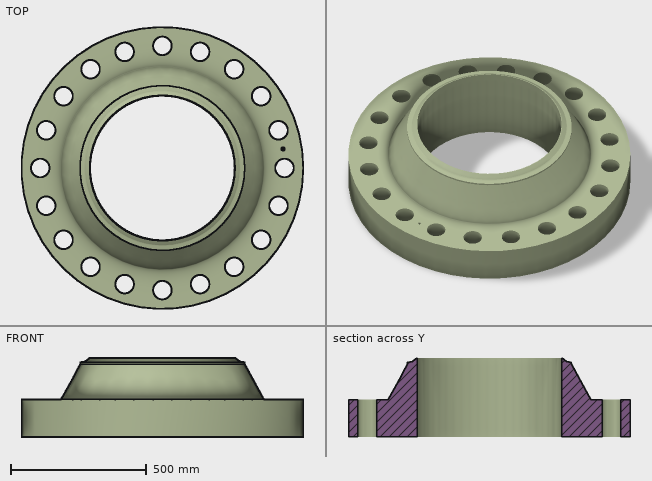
import cadquery as cq
import math

flange_radius = 521.0
flange_height = 140.0

total_height = 293.0
bore_radius = 267.0
neck_base_radius = 375.0
neck_top_radius = 304.0
neck_base_fillet = 3.0
neck_collar_bottom = 270.0

land_width = 2.0
steep_bevel_width = 17.0
steep_bevel_angle = 37.5
shallow_bevel_angle = 10.0
bevel_fillet = 3.0

bolt_count = 20
bolt_circle_radius = 451.0
bolt_hole_diameter = 68.0
pilot_hole_diameter = 7.0
pilot_chamfer = 2.6
pilot_hole_depth = 25.0


def rise(width, angle):
    """Height gained by a slope of the given width and angle in degrees."""
    return width * math.tan(math.radians(angle))


def flange_body():
    """Revolve the half section of disc, neck and weld end about Z."""
    land_radius = bore_radius + land_width
    bevel_radius = land_radius + steep_bevel_width
    bevel_height = total_height - rise(steep_bevel_width, steep_bevel_angle)
    collar_top = bevel_height - rise(neck_top_radius - bevel_radius, shallow_bevel_angle)
    section = [
        (bore_radius, 0),
        (flange_radius, 0),
        (flange_radius, flange_height),
        (neck_base_radius, flange_height),
        (neck_top_radius, neck_collar_bottom),
        (neck_top_radius, collar_top),
        (bevel_radius, bevel_height),
        (land_radius, total_height),
        (bore_radius, total_height),
    ]
    body = cq.Workplane("XZ").polyline(section).close().revolve(360, (0, 0), (0, 1))
    neck_base_edge = cq.selectors.RadiusNthSelector(-2)
    bevel_edge = cq.selectors.NearestToPointSelector((0, 0, bevel_height))
    body = body.edges(neck_base_edge).fillet(neck_base_fillet)
    return body.edges(bevel_edge).fillet(bevel_fillet)


def bolt_holes():
    """Through holes evenly spaced on the bolt circle, the first on +X."""
    return (
        cq.Workplane("XY")
        .polarArray(bolt_circle_radius, 0, 360, bolt_count)
        .circle(bolt_hole_diameter / 2)
        .extrude(flange_height)
    )


def pilot_hole():
    """Small chamfered blind hole in the flange face, half a bolt spacing from +X."""
    angle = math.radians(360 / bolt_count / 2)
    center_x = bolt_circle_radius * math.cos(angle)
    center_y = bolt_circle_radius * math.sin(angle)
    hole_radius = pilot_hole_diameter / 2
    section = [
        (0, 0),
        (hole_radius + pilot_chamfer, 0),
        (hole_radius, -pilot_chamfer),
        (hole_radius, -pilot_hole_depth),
        (0, -pilot_hole_depth),
    ]
    return (
        cq.Workplane("XZ")
        .polyline(section)
        .close()
        .revolve(360, (0, 0), (0, 1))
        .translate((center_x, center_y, flange_height))
    )


result = flange_body().cut(bolt_holes()).cut(pilot_hole())